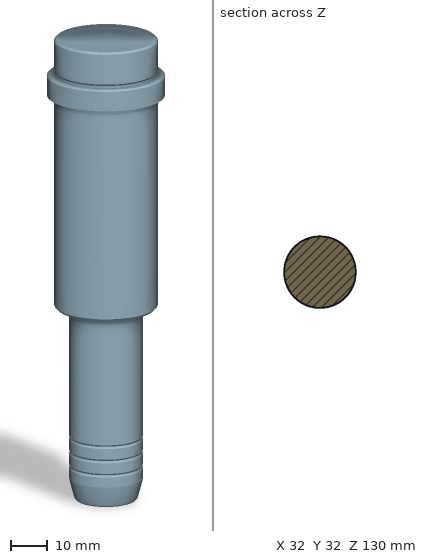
import cadquery as cq

length = 130.0
body_radius = 14.0
collar_radius = 16.0
pin_radius = 10.0
nose_radius = 8.6

collar_top = length - 10.0
collar_bottom = collar_top - 6.0
shoulder = 54.0
nose_height = 6.0

edge_chamfer = 0.5
shoulder_chamfer = 0.8
collar_chamfer = 0.4
tip_chamfer = 0.4
nose_bulge = 0.1

pin_relief_depth = 0.3
pin_relief_width = 0.8

groove_count = 3
groove_pitch = 4.0
groove_width = 1.0
groove_depth = 0.5
lowest_groove = 9.4


def cylinder(radius, bottom, top):
    return cq.Workplane("XY").workplane(offset=bottom).circle(radius).extrude(top - bottom)


def ring_cut(outer_radius, depth, bottom, top):
    """Square ring that narrows a cylinder by the given depth."""
    return cylinder(outer_radius, bottom, top).cut(cylinder(outer_radius - depth, bottom, top))


def make_body():
    """Main cylinder with both end edges broken and a groove on each side of the collar."""
    body = cylinder(body_radius, shoulder, length)
    body = body.faces(">Z").chamfer(edge_chamfer)
    body = body.faces("<Z").chamfer(shoulder_chamfer)
    body = body.cut(groove(body_radius, collar_top + groove_width / 2))
    return body.cut(groove(body_radius, collar_bottom - groove_width / 2))


def revolve_profile(outline):
    return outline.revolve(360, (0, 0, 0), (0, 1, 0))


def make_collar():
    collar = cylinder(collar_radius, collar_bottom, collar_top)
    return collar.faces(">Z").chamfer(collar_chamfer)


def make_pin():
    """Slim pin with a slightly bulged nose and a broken tip edge."""
    middle_radius = (pin_radius + nose_radius) / 2 + nose_bulge
    middle_height = (nose_height + tip_chamfer) / 2
    outline = (
        cq.Workplane("XZ")
        .lineTo(nose_radius - tip_chamfer, 0)
        .lineTo(nose_radius, tip_chamfer)
        .threePointArc((middle_radius, middle_height), (pin_radius, nose_height))
        .lineTo(pin_radius, shoulder)
        .lineTo(0, shoulder)
        .close()
    )
    pin = revolve_profile(outline)
    pin = pin.cut(ring_cut(pin_radius, pin_relief_depth, shoulder - pin_relief_width, shoulder))
    for index in range(groove_count):
        pin = pin.cut(groove(pin_radius, lowest_groove + index * groove_pitch))
    return pin


def groove(surface_radius, height):
    """Ring groove centred on the given height, with a V section."""
    root_radius = surface_radius - groove_depth
    half_mouth = groove_width / 2
    profile = [
        (surface_radius, height - half_mouth),
        (root_radius, height),
        (surface_radius, height + half_mouth),
    ]
    return revolve_profile(cq.Workplane("XZ").polyline(profile).close())


result = make_body().union(make_collar()).union(make_pin())